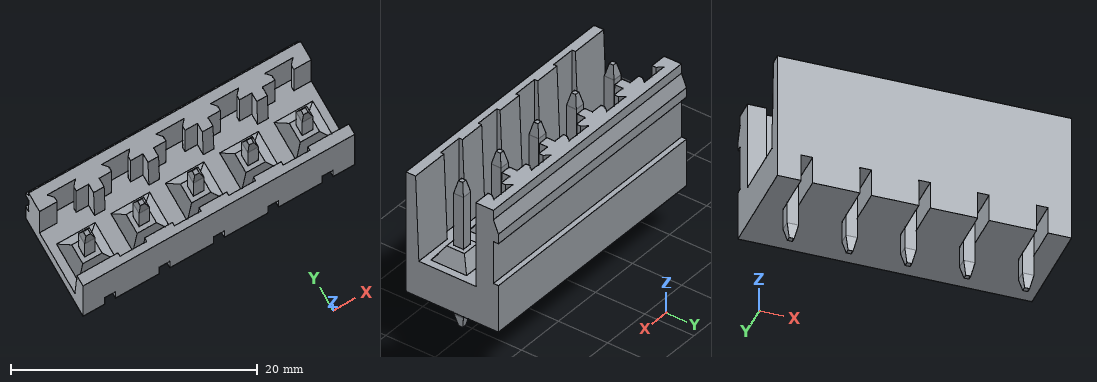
import cadquery as cq


PIN_COUNT = 5
PITCH = 5.08
LENGTH = PIN_COUNT * PITCH
PIN_XS = [(i - (PIN_COUNT - 1) / 2) * PITCH for i in range(PIN_COUNT)]
BETWEEN_XS = [x + PITCH / 2 for x in PIN_XS[:-1]]

DEPTH = 9.4
HEIGHT = 12.0
FLOOR_Z = 3.6
FRONT_WALL_TOP = 1.0
FRONT_WALL_FOOT = 1.32
BACK_WALL_INNER_Y = 7.1

LATCH_RELIEF = 0.5
LATCH_GAP_BOTTOM_Z = 4.67
LATCH_CATCH_Z = 8.86
LATCH_RAMP_BOTTOM_Z = 9.83
LATCH_RAMP_TOP_Z = 11.05

RECESS_WIDTH = 2.5
RECESS_WALL = 0.65
RIB_WIDTH = 1.0
RIB_TOP_Y = 6.3
RIB_FOOT_Y = 6.15
DOVETAIL_NECK_WIDTH = 1.78
DOVETAIL_WIDTH = 2.62
DOVETAIL_NECK_Y = 7.52
DOVETAIL_BACK_Y = 8.0

PIN_Y = 3.8
PIN_WIDTH = 1.0
PIN_TOP_Z = 11.33
PIN_BOTTOM_Z = -3.2
TIP_WIDTH = 0.43
TIP_LENGTH = 1.22
PEDESTAL_BASE_WIDTH = 3.6
PEDESTAL_TOP_WIDTH = 1.8
PEDESTAL_TOP_Z = 4.9
SLOT_HEIGHT = 2.55


def extrude_along_row(points, width, x_center):
    """Extrude a (Y, Z) outline along X, centred on x_center."""
    return cq.Workplane("YZ", origin=(x_center - width / 2, 0, 0)).polyline(points).close().extrude(width)


def square_frustum(x, bottom_z, bottom_width, top_z, top_width):
    """Square block on the pin row that narrows or widens evenly from bottom to top."""
    return (
        cq.Workplane("XY", origin=(x, PIN_Y, bottom_z))
        .rect(bottom_width, bottom_width)
        .workplane(offset=top_z - bottom_z)
        .rect(top_width, top_width)
        .loft(ruled=True)
    )


def pin_shank(x, bottom_z, top_z):
    """Straight square stretch of a pin."""
    return square_frustum(x, bottom_z, PIN_WIDTH, top_z, PIN_WIDTH)


def make_pin(x):
    """Square pin with a tapered tip at each end."""
    lower_shoulder_z = PIN_BOTTOM_Z + TIP_LENGTH
    upper_shoulder_z = PIN_TOP_Z - TIP_LENGTH
    lower_tip = square_frustum(x, PIN_BOTTOM_Z, TIP_WIDTH, lower_shoulder_z, PIN_WIDTH)
    upper_tip = square_frustum(x, upper_shoulder_z, PIN_WIDTH, PIN_TOP_Z, TIP_WIDTH)
    return pin_shank(x, lower_shoulder_z, upper_shoulder_z).union(lower_tip).union(upper_tip)


def make_shell():
    """U-shaped section with the latch ledge on its back, running the whole length."""
    relief_y = DEPTH - LATCH_RELIEF
    outline = [
        (0, 0),
        (DEPTH, 0),
        (DEPTH, LATCH_GAP_BOTTOM_Z),
        (relief_y, LATCH_GAP_BOTTOM_Z),
        (relief_y, LATCH_CATCH_Z),
        (DEPTH, LATCH_CATCH_Z),
        (DEPTH, LATCH_RAMP_BOTTOM_Z),
        (relief_y, LATCH_RAMP_TOP_Z),
        (relief_y, HEIGHT),
        (BACK_WALL_INNER_Y, HEIGHT),
        (BACK_WALL_INNER_Y, FLOOR_Z),
        (FRONT_WALL_FOOT, FLOOR_Z),
        (FRONT_WALL_TOP, HEIGHT),
        (0, HEIGHT),
    ]
    return extrude_along_row(outline, LENGTH, 0)


def make_rib(x):
    """Drafted rib on the inside of the back wall."""
    outline = [
        (BACK_WALL_INNER_Y, FLOOR_Z),
        (BACK_WALL_INNER_Y, HEIGHT),
        (RIB_TOP_Y, HEIGHT),
        (RIB_FOOT_Y, FLOOR_Z),
    ]
    return extrude_along_row(outline, RIB_WIDTH, x)


def make_front_recess(x):
    """Cutter for a straight-walled recess in the inside of the front wall."""
    outline = [
        (RECESS_WALL, FLOOR_Z),
        (FRONT_WALL_FOOT, FLOOR_Z),
        (FRONT_WALL_FOOT, HEIGHT),
        (RECESS_WALL, HEIGHT),
    ]
    return extrude_along_row(outline, RECESS_WIDTH, x)


def make_dovetail(x):
    """Cutter for an undercut keying groove in the back wall."""
    half_neck = DOVETAIL_NECK_WIDTH / 2
    half_width = DOVETAIL_WIDTH / 2
    return (
        cq.Workplane("XY", origin=(x, 0, FLOOR_Z))
        .moveTo(-half_neck, BACK_WALL_INNER_Y)
        .lineTo(-half_neck, DOVETAIL_NECK_Y)
        .lineTo(-half_width, DOVETAIL_BACK_Y)
        .lineTo(half_width, DOVETAIL_BACK_Y)
        .lineTo(half_neck, DOVETAIL_NECK_Y)
        .lineTo(half_neck, BACK_WALL_INNER_Y)
        .close()
        .extrude(HEIGHT - FLOOR_Z)
    )


def make_pin_slot(x):
    """Cutter for the slot in the base that leads from the front face to a pin."""
    outline = [(0, 0), (PIN_Y, 0), (PIN_Y, SLOT_HEIGHT), (0, SLOT_HEIGHT)]
    return extrude_along_row(outline, PIN_WIDTH, x)


def make_housing():
    """Housing with its ribs, recesses, grooves and pin seats."""
    housing = make_shell()
    for x in BETWEEN_XS:
        housing = housing.union(make_rib(x)).cut(make_front_recess(x))
    for x in PIN_XS:
        pedestal = square_frustum(x, FLOOR_Z, PEDESTAL_BASE_WIDTH, PEDESTAL_TOP_Z, PEDESTAL_TOP_WIDTH)
        pin_hole = pin_shank(x, 0, PEDESTAL_TOP_Z)
        housing = housing.cut(make_dovetail(x)).union(pedestal).cut(pin_hole).cut(make_pin_slot(x))
    return housing


housing = make_housing().solids()
pins = [make_pin(x).solids().val() for x in PIN_XS]
result = cq.Compound.makeCompound([housing.val(), *pins])